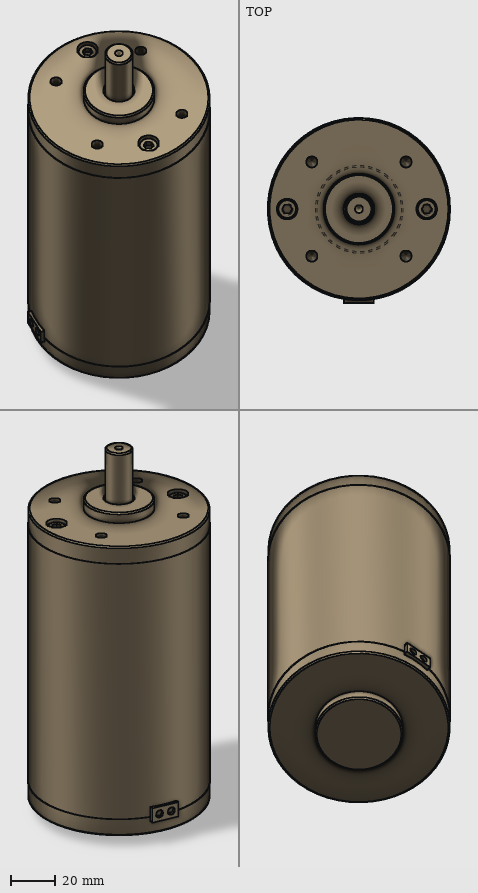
import cadquery as cq
import math

total_height = 180.0
shaft_projection = 25.0
collar_height = 5.0
cap_height = 8.5
rear_boss_height = 5.4
collar_top = total_height - shaft_projection
front_face = collar_top - collar_height
can_top = front_face - cap_height
can_bottom = rear_boss_height + cap_height

can_radius = 41.2
cap_radius = 41.0
collar_radius = 16.0
rear_boss_radius = 19.8
edge_chamfer = 0.7

shaft_radius = 6.3
shaft_chamfer = 0.7
shaft_depth = 27.0
shaft_recess_radius = 7.0
shaft_recess_depth = collar_height
shaft_recess_floor = collar_top - shaft_recess_depth
shaft_bottom = shaft_recess_floor - shaft_depth
center_hole_radius = 1.8
center_hole_depth = 1.8

mount_hole_count = 4
mount_circle_radius = 30.0
mount_first_angle = 45.0
mount_hole_radius = 2.5
mount_hole_depth = 10.0
drill_tip_angle = 118.0

screw_spacing = 63.0
screw_center_x = -0.9
screw_positions = [screw_center_x + side * screw_spacing / 2 for side in (-1, 1)]
counterbore_radius = 4.7
counterbore_depth = 6.5
counterbore_floor = front_face - counterbore_depth
head_radius = 4.0
head_recess = 1.5
shank_radius = 2.5
shank_length = 14.4
socket_flats = 4.0
socket_depth = 2.5

terminal_width = 13.5
terminal_height = 7.2
terminal_center_z = 15.3
terminal_face_y = -42.5
terminal_depth = 4.5
terminal_hole_spacing = 6.1
terminal_hole_radius = 1.8


def cylinder(radius, bottom, top):
    """Cylinder on the Z axis between two heights."""
    return cq.Workplane("XY").workplane(offset=bottom).circle(radius).extrude(top - bottom)


def make_turned_body():
    """Can with a cap at each end, a front collar and a rear boss."""
    can = cylinder(can_radius, can_bottom, can_top)
    front_cap = cylinder(cap_radius, can_top, front_face).faces(">Z").edges().chamfer(edge_chamfer)
    collar = cylinder(collar_radius, front_face, collar_top).faces(">Z").edges().chamfer(edge_chamfer)
    rear_cap = cylinder(cap_radius, rear_boss_height, can_bottom).faces("<Z").edges().chamfer(edge_chamfer)
    rear_boss = cylinder(rear_boss_radius, 0, rear_boss_height).faces("<Z").edges().chamfer(edge_chamfer)
    return can.union(front_cap).union(collar).union(rear_cap).union(rear_boss)


def make_terminal_block():
    """Flat block with two holes that reach in to the round housing wall."""
    face = cq.Workplane("XZ", origin=(0, terminal_face_y, terminal_center_z))
    block = face.rect(terminal_width, terminal_height).extrude(-terminal_depth)
    half_spacing = terminal_hole_spacing / 2
    holes = (
        face.pushPoints([(-half_spacing, 0), (half_spacing, 0)])
        .circle(terminal_hole_radius)
        .extrude(-terminal_depth)
    )
    return block.cut(holes)


def make_drilled_hole():
    """Mounting hole with a conical drill tip, opening at the front face."""
    tip_height = mount_hole_radius / math.tan(math.radians(drill_tip_angle / 2))
    floor = front_face - mount_hole_depth
    return (
        cq.Workplane("XZ")
        .moveTo(0, front_face)
        .lineTo(mount_hole_radius, front_face)
        .lineTo(mount_hole_radius, floor)
        .lineTo(0, floor - tip_height)
        .close()
        .revolve(360, (0, 0, 0), (0, 1, 0))
    )


def make_housing():
    """Turned body with its terminal block, shaft bore, mounting holes and screw holes."""
    housing = make_turned_body().union(make_terminal_block())

    housing = housing.cut(cylinder(shaft_radius, shaft_bottom, collar_top))
    housing = housing.cut(cylinder(shaft_recess_radius, shaft_recess_floor, collar_top))

    for index in range(mount_hole_count):
        angle = math.radians(mount_first_angle + index * 360 / mount_hole_count)
        position = (mount_circle_radius * math.cos(angle), mount_circle_radius * math.sin(angle), 0)
        housing = housing.cut(make_drilled_hole().translate(position))

    counterbore = cylinder(counterbore_radius, counterbore_floor, front_face)
    screw_hole = counterbore.union(cylinder(shank_radius, counterbore_floor - shank_length, counterbore_floor))
    for x in screw_positions:
        housing = housing.cut(screw_hole.translate((x, 0, 0)))
    return housing


def make_shaft():
    """Round output shaft with a conical center hole in its end."""
    shaft = cylinder(shaft_radius, shaft_bottom, total_height).faces(">Z").edges().chamfer(shaft_chamfer)
    center_hole = cq.Solid.makeCone(
        0, center_hole_radius, center_hole_depth, pnt=(0, 0, total_height - center_hole_depth)
    )
    return shaft.cut(cq.Workplane(center_hole))


def make_screw(x):
    """Socket head screw standing on the bottom of its counterbore at the given X."""
    head_top = front_face - head_recess
    shank = cylinder(shank_radius, counterbore_floor - shank_length, counterbore_floor)
    head = cylinder(head_radius, counterbore_floor, head_top)
    socket = (
        cq.Workplane("XY")
        .workplane(offset=head_top - socket_depth)
        .polygon(6, socket_flats / math.cos(math.pi / 6))
        .extrude(socket_depth)
    )
    return shank.union(head).cut(socket).translate((x, 0, 0))


housing = make_housing()
shaft = make_shaft()
screws = [make_screw(x) for x in screw_positions]

result = cq.Compound.makeCompound([housing.val(), shaft.val(), *[screw.val() for screw in screws]])